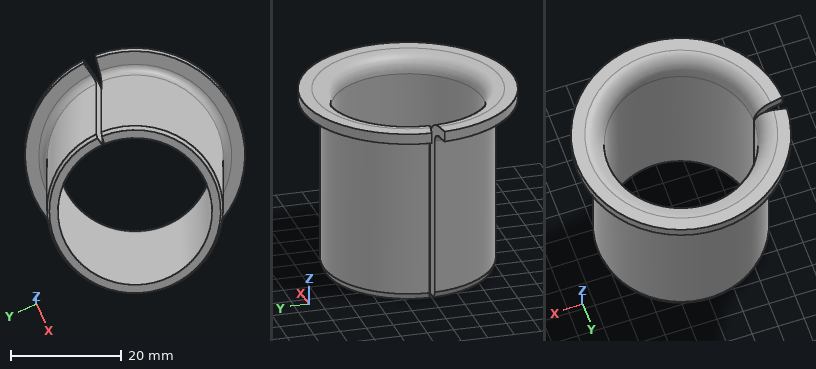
import cadquery as cq
import math

flange_diameter = 39.98
height = 35.0
bore_diameter = 28.0
wall = 2.0
bend_inner_radius = 1.5
chamfer_height = 1.2
chamfer_angle = 20.0
gap_bore_width = 0.3
gap_side_angle = 10.0

flange_radius = flange_diameter / 2
bore_radius = bore_diameter / 2
sleeve_radius = bore_radius + wall
bend_outer_radius = bend_inner_radius + wall
bend_center_radius = bore_radius + bend_outer_radius
bend_center_z = height - bend_outer_radius
chamfer_depth = chamfer_height * math.tan(math.radians(chamfer_angle))


def bend_midpoint(radius):
    """Point halfway along a quarter-circle bend of the given radius."""
    offset = radius * math.sqrt(0.5)
    return bend_center_radius - offset, bend_center_z + offset


def make_flanged_sleeve():
    """Constant-wall sleeve whose top end is bent outward into a flange."""
    return (
        cq.Workplane("XZ")
        .moveTo(bore_radius, 0)
        .lineTo(sleeve_radius - chamfer_depth, 0)
        .lineTo(sleeve_radius, chamfer_height)
        .lineTo(sleeve_radius, bend_center_z)
        .threePointArc(bend_midpoint(bend_inner_radius), (bend_center_radius, height - wall))
        .lineTo(flange_radius, height - wall)
        .lineTo(flange_radius, height)
        .lineTo(bend_center_radius, height)
        .threePointArc(bend_midpoint(bend_outer_radius), (bore_radius, bend_center_z))
        .close()
        .revolve(360, (0, 0, 0), (0, 1, 0))
        .rotate((0, 0, 0), (0, 0, 1), 180)
    )


def make_gap():
    """Full-height wedge on the -X side that widens outward from the bore."""
    half_bore_width = gap_bore_width / 2
    slope = math.tan(math.radians(gap_side_angle))
    tip_x = -bore_radius + half_bore_width / slope
    outer_x = -(flange_radius + wall)
    half_outer_width = (tip_x - outer_x) * slope
    return (
        cq.Workplane("XY")
        .polyline([(tip_x, 0), (outer_x, half_outer_width), (outer_x, -half_outer_width)])
        .close()
        .extrude(height)
    )


result = make_flanged_sleeve().cut(make_gap())